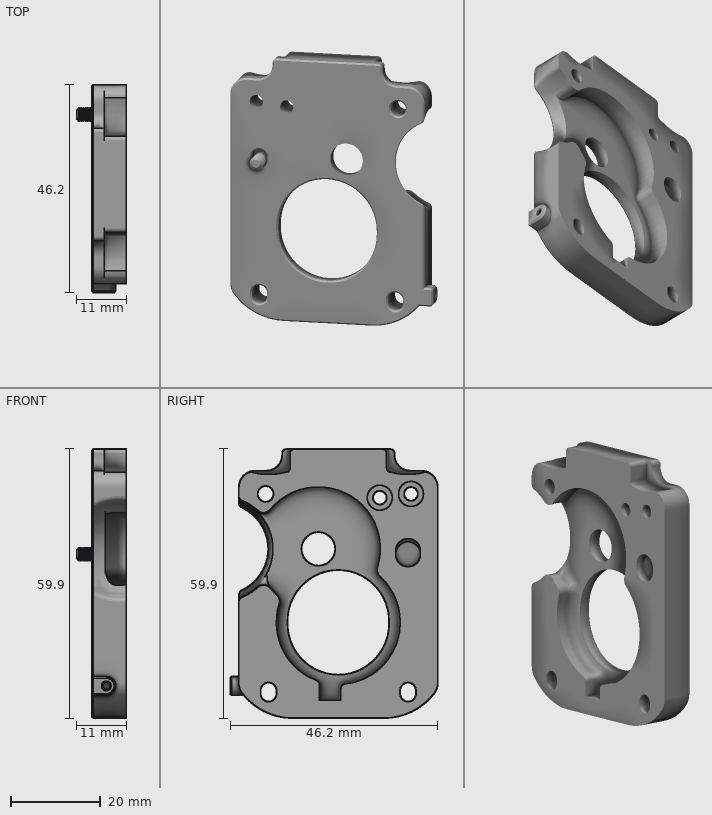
import cadquery as cq
import math


PLATE_DEPTH = 7.65
HALF_WIDTH = 22.15
TOP_Z = 38.55
BOTTOM_Z = TOP_Z - 59.85
EAR_Z = TOP_Z - 4.8
EAR_RADIUS = 3.85
NECK_HALF_WIDTH = 12.5
NECK_TOP_RADIUS = 0.95
NECK_ROOT_RADIUS = 3.4
BOTTOM_RADIUS = 14.2
BOTTOM_FLAT_HALF = 10.1
BOTTOM_BLEND_RADIUS = 4.0
EDGE_CHAMFER = 0.35

RELIEF_START_X = 2.75
RELIEF_HALF_WIDTH = 10.7
RELIEF_CORNER_RADIUS = 0.95
RELIEF_Z = TOP_Z - 5.15
RELIEF_OUTER_Y = 19.3
RELIEF_SAG = 0.55
RELIEF_LIP_Y = 20.65
RELIEF_LIP_DROP = 0.1

TAB_LENGTH = 1.9
TAB_ROOT_DEPTH = 1.8
TAB_Z = -14.1
TAB_RADIUS = 2.1
TAB_CENTER_X = 3.25
TAB_HOLE_DIAMETER = 1.6
TAB_HOLE_MOUTH_DIAMETER = 2.1
TAB_HOLE_DEPTH = 4.8

GEAR_Y = -4.4
GEAR_Z = 16.35
GEAR_BORE_DIAMETER = 7.4
POCKET_RADIUS = 13.75
POCKET_BLEND_RADIUS = 2.0
NOTCH_Y = -1.8
NOTCH_WIDTH = 4.8
NOTCH_FLOOR_Z = -17.35
NOTCH_CORNER_RADIUS = 0.95
WEB_THICKNESS = 3.0
BAY_X = 6.0
BAY_Y = -25.75
BAY_RADIUS = 11.6
BAY_EDGE_RADIUS = 1.0

MOTOR_HOLE_WIDTH = 22.5
SLOT_TRAVEL = 0.7
MOUNT_SPACING = 31.0
MOUNT_DIAMETER = 3.5
EAR_HOLE_Y = 16.15
EAR_HOLE_Z = 28.55

BUSHING_DIAMETER = 5.55
BUSHING_BORE = 3.0
BUSHING_LENGTH = PLATE_DEPTH
BUSHING_CENTERS = [(EAR_HOLE_Y, EAR_HOLE_Z), (9.2, 27.7)]

SCREW_LENGTH = 6.0
SCREW_PROTRUSION = 3.35
SCREW_SEAT_X = SCREW_LENGTH - SCREW_PROTRUSION
THREAD_DIAMETER = 3.0
THREAD_ROOT_DIAMETER = 2.35
THREAD_PITCH = 0.5
SCREW_TIP_DIAMETER = 1.85
SCREW_HEAD_DIAMETER = 5.5
SCREW_HEAD_HEIGHT = 3.0
SCREW_Y = MOUNT_SPACING / 2
SCREW_Z = MOUNT_SPACING / 2 - SLOT_TRAVEL / 2

THROUGH = PLATE_DEPTH + 1.2
EDGE_MARGIN = 1.8
POINT_MARGIN = 0.05
DIAGONAL = math.sqrt(0.5)


def at_x(x):
    """Workplane facing +X whose local axes are Y and Z."""
    return cq.Workplane("YZ", origin=(x, 0, 0))


def cylinder_x(diameter, x, length, y, z):
    return at_x(x).center(y, z).circle(diameter / 2).extrude(length)


def upright_slot(width, travel, x, y, z):
    """Slot outline with round ends that lie the given travel apart along Z; a circle without travel."""
    start = at_x(x).center(y, z)
    if travel == 0:
        return start.circle(width / 2)
    return start.slot2D(width + travel, width, 90)


def bevelled_opening(width, travel, y, z):
    """Through opening whose front rim is bevelled at 45 degrees."""
    bore = upright_slot(width, travel, 0, y, z).extrude(PLATE_DEPTH)
    rim = upright_slot(width + 2 * EDGE_CHAMFER, travel, 0, y, z).extrude(EDGE_CHAMFER, taper=45)
    return bore.union(rim)


def both_sides(solid):
    return solid.union(solid.mirror("XZ"))


def edges_between(solid, y, z, margin):
    """Edges of a solid inside the plate thickness, within a margin of the line at (y, z)."""
    near = cq.selectors.BoxSelector((0.05, y - margin, z - margin), (PLATE_DEPTH - 0.05, y + margin, z + margin))
    return solid.edges(near)


def half_outline():
    """Half of the plate on the +Y side, without the rear relief."""
    side_drop = BOTTOM_RADIUS - math.sqrt(BOTTOM_RADIUS**2 - (HALF_WIDTH - BOTTOM_FLAT_HALF) ** 2)
    arc_center_z = BOTTOM_Z + BOTTOM_RADIUS
    half_angle = math.asin((HALF_WIDTH - BOTTOM_FLAT_HALF) / BOTTOM_RADIUS) / 2
    arc_middle = (
        BOTTOM_FLAT_HALF + BOTTOM_RADIUS * math.sin(half_angle),
        arc_center_z - BOTTOM_RADIUS * math.cos(half_angle),
    )
    root_y = NECK_HALF_WIDTH + NECK_ROOT_RADIUS
    root_z = EAR_Z + NECK_ROOT_RADIUS
    root_middle = (root_y - NECK_ROOT_RADIUS * DIAGONAL, root_z - NECK_ROOT_RADIUS * DIAGONAL)
    body = (
        at_x(0)
        .moveTo(0, BOTTOM_Z)
        .lineTo(BOTTOM_FLAT_HALF, BOTTOM_Z)
        .threePointArc(arc_middle, (HALF_WIDTH, BOTTOM_Z + side_drop))
        .lineTo(HALF_WIDTH, EAR_Z)
        .lineTo(root_y, EAR_Z)
        .threePointArc(root_middle, (NECK_HALF_WIDTH, root_z))
        .lineTo(NECK_HALF_WIDTH, TOP_Z)
        .lineTo(0, TOP_Z)
        .close()
        .extrude(PLATE_DEPTH)
    )

    def round_corner(solid, y, z, radius):
        corner = cq.selectors.NearestToPointSelector((PLATE_DEPTH / 2, y, z))
        return solid.edges("|X").edges(corner).fillet(radius)

    body = round_corner(body, HALF_WIDTH, BOTTOM_Z + side_drop, BOTTOM_BLEND_RADIUS)
    body = round_corner(body, HALF_WIDTH, EAR_Z, EAR_RADIUS)
    return round_corner(body, NECK_HALF_WIDTH, TOP_Z, NECK_TOP_RADIUS)


def relief_cutter():
    """Material removed behind one ear: neck step, shallow hollow and rounded lip."""
    r = RELIEF_CORNER_RADIUS
    wall_y = RELIEF_HALF_WIDTH
    floor_y = wall_y + r
    hollow_middle = ((floor_y + RELIEF_OUTER_Y) / 2, RELIEF_Z - RELIEF_SAG)
    ear_center_y = HALF_WIDTH - EAR_RADIUS
    lip_rise = math.sqrt(EAR_RADIUS**2 - (RELIEF_LIP_Y - ear_center_y) ** 2)
    lip_z = EAR_Z - EAR_RADIUS + lip_rise
    lip_middle = ((RELIEF_OUTER_Y + RELIEF_LIP_Y) / 2, RELIEF_Z - RELIEF_LIP_DROP)
    return (
        at_x(RELIEF_START_X)
        .moveTo(wall_y - r, TOP_Z)
        .threePointArc((wall_y - r + r * DIAGONAL, TOP_Z - r + r * DIAGONAL), (wall_y, TOP_Z - r))
        .lineTo(wall_y, RELIEF_Z + r)
        .threePointArc((floor_y - r * DIAGONAL, RELIEF_Z + r - r * DIAGONAL), (floor_y, RELIEF_Z))
        .threePointArc(hollow_middle, (RELIEF_OUTER_Y, RELIEF_Z))
        .threePointArc(lip_middle, (RELIEF_LIP_Y, lip_z))
        .lineTo(HALF_WIDTH, TOP_Z)
        .close()
        .extrude(PLATE_DEPTH)
    )


def bay_cutter():
    """Ball that hollows a round bay out of the -Y side."""
    return cq.Workplane("XY", origin=(BAY_X, BAY_Y, GEAR_Z)).sphere(BAY_RADIUS)


def tab():
    """Tab on the -Y side: flush with the front face, rounded at the rear, bevelled end."""
    root_y = -HALF_WIDTH + TAB_ROOT_DEPTH
    end_y = -HALF_WIDTH - TAB_LENGTH
    return (
        cq.Workplane("XZ", origin=(0, root_y, 0))
        .moveTo(0, TAB_Z - TAB_RADIUS)
        .lineTo(TAB_CENTER_X, TAB_Z - TAB_RADIUS)
        .threePointArc((TAB_CENTER_X + TAB_RADIUS, TAB_Z), (TAB_CENTER_X, TAB_Z + TAB_RADIUS))
        .lineTo(0, TAB_Z + TAB_RADIUS)
        .close()
        .extrude(root_y - end_y)
        .faces("<Y")
        .edges("not(<X)")
        .chamfer(EDGE_CHAMFER)
    )


def tab_hole():
    """Blind hole in the end of the tab with a countersunk mouth."""
    mouth_depth = (TAB_HOLE_MOUTH_DIAMETER - TAB_HOLE_DIAMETER) / 2
    mouth = cq.Workplane("XZ", origin=(TAB_CENTER_X, -HALF_WIDTH - TAB_LENGTH, TAB_Z))
    bore = mouth.circle(TAB_HOLE_DIAMETER / 2).extrude(-TAB_HOLE_DEPTH)
    countersink = (
        mouth.circle(TAB_HOLE_MOUTH_DIAMETER / 2)
        .workplane(offset=-mouth_depth)
        .circle(TAB_HOLE_DIAMETER / 2)
        .loft()
    )
    return bore.union(countersink)


def pocket_cutter():
    """Rear pocket: equal gear and motor rounds with blended cusps, and a notch below the motor."""
    depth = PLATE_DEPTH - WEB_THICKNESS
    gear = cylinder_x(2 * POCKET_RADIUS, WEB_THICKNESS, depth, GEAR_Y, GEAR_Z)
    motor = cylinder_x(2 * POCKET_RADIUS, WEB_THICKNESS, depth, 0, 0)
    pocket = gear.union(motor)
    axis_distance = math.hypot(GEAR_Y, GEAR_Z)
    half_chord = math.sqrt(POCKET_RADIUS**2 - (axis_distance / 2) ** 2)
    for side in (1, -1):
        cusp_y = GEAR_Y / 2 + side * half_chord * GEAR_Z / axis_distance
        cusp_z = GEAR_Z / 2 - side * half_chord * GEAR_Y / axis_distance
        pocket = edges_between(pocket, cusp_y, cusp_z, POINT_MARGIN).fillet(POCKET_BLEND_RADIUS)

    notch = at_x(WEB_THICKNESS).center(NOTCH_Y, NOTCH_FLOOR_Z / 2).rect(NOTCH_WIDTH, -NOTCH_FLOOR_Z).extrude(depth)
    pocket = pocket.union(notch)
    for corner_y in (NOTCH_Y - NOTCH_WIDTH / 2, NOTCH_Y + NOTCH_WIDTH / 2):
        corner_z = -math.sqrt(POCKET_RADIUS**2 - corner_y**2)
        pocket = edges_between(pocket, corner_y, corner_z, POINT_MARGIN).fillet(NOTCH_CORNER_RADIUS)
    return pocket


def make_plate():
    plate = both_sides(half_outline())
    plate = plate.cut(bay_cutter())
    bay_half_height = math.sqrt(BAY_RADIUS**2 - (HALF_WIDTH + BAY_Y) ** 2)
    for side in (1, -1):
        rim_z = GEAR_Z + side * bay_half_height
        plate = edges_between(plate, -HALF_WIDTH, rim_z, EDGE_MARGIN).fillet(BAY_EDGE_RADIUS)
    plate = plate.union(tab())
    plate = plate.faces("<X").edges().chamfer(EDGE_CHAMFER)
    plate = plate.cut(both_sides(relief_cutter()))

    plate = plate.cut(pocket_cutter())
    gap = GEAR_Y - BAY_Y
    lip_offset = (gap**2 + POCKET_RADIUS**2 - BAY_RADIUS**2) / (2 * gap)
    lip_half_height = math.sqrt(POCKET_RADIUS**2 - lip_offset**2)
    for side in (1, -1):
        lip_z = GEAR_Z + side * lip_half_height
        plate = edges_between(plate, GEAR_Y - lip_offset, lip_z, EDGE_MARGIN).fillet(POCKET_BLEND_RADIUS)

    half = MOUNT_SPACING / 2
    plate = plate.cut(bevelled_opening(MOTOR_HOLE_WIDTH, SLOT_TRAVEL, 0, 0))
    for y, z in [(half, half), (half, -half), (-half, -half)]:
        plate = plate.cut(bevelled_opening(MOUNT_DIAMETER, SLOT_TRAVEL, y, z))
    plate = plate.cut(bevelled_opening(MOUNT_DIAMETER, 0, -EAR_HOLE_Y, EAR_HOLE_Z))

    plate = plate.cut(cylinder_x(GEAR_BORE_DIAMETER, -0.6, THROUGH, GEAR_Y, GEAR_Z))
    head_recess = upright_slot(SCREW_HEAD_DIAMETER, SLOT_TRAVEL, SCREW_SEAT_X, half, half).extrude(PLATE_DEPTH)
    plate = plate.cut(head_recess)
    for y, z in BUSHING_CENTERS:
        plate = plate.cut(cylinder_x(BUSHING_DIAMETER, 0, BUSHING_LENGTH, y, z))
    return plate.cut(tab_hole())


def make_bushing(y, z):
    body = cylinder_x(BUSHING_DIAMETER, 0, BUSHING_LENGTH, y, z)
    return body.cut(cylinder_x(BUSHING_BORE, 0, BUSHING_LENGTH, y, z))


def make_screw():
    """Cap screw with its head behind the plate and ring-shaped threads along the shank."""
    crest = THREAD_DIAMETER / 2
    root = THREAD_ROOT_DIAMETER / 2
    tip = SCREW_TIP_DIAMETER / 2
    tip_length = root - tip
    thread_count = int((SCREW_LENGTH - tip_length) / THREAD_PITCH)
    profile = [(0, 0), (0, tip), (tip_length, root)]
    for i in range(thread_count):
        start = tip_length + i * THREAD_PITCH
        profile += [(start + THREAD_PITCH / 2, crest), (start + THREAD_PITCH, root)]
    head_radius = SCREW_HEAD_DIAMETER / 2
    head_end = SCREW_LENGTH + SCREW_HEAD_HEIGHT
    profile += [(SCREW_LENGTH, root), (SCREW_LENGTH, head_radius), (head_end, head_radius), (head_end, 0)]
    return (
        cq.Workplane("XY")
        .polyline(profile)
        .close()
        .revolve(360, (0, 0, 0), (1, 0, 0))
        .translate((-SCREW_PROTRUSION, SCREW_Y, SCREW_Z))
    )


plate = make_plate()
bushings = [make_bushing(y, z) for y, z in BUSHING_CENTERS]
screw = make_screw()

result = cq.Compound.makeCompound([plate.val(), *[bushing.val() for bushing in bushings], screw.val()])